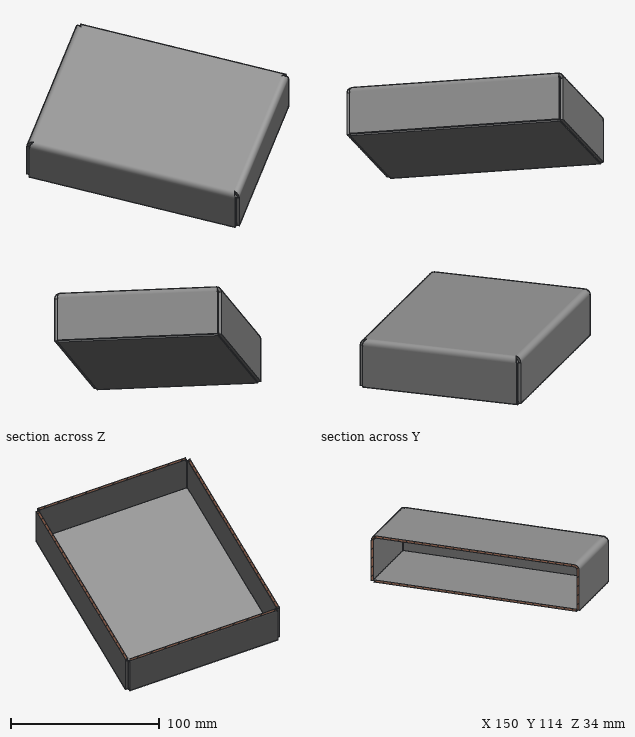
import cadquery as cq

length = 150.0
width = 114.0
height = 34.0

sheet = 2.0
bend_radius = 4.0
corner_gap = 2.2
base_drop = 1.0
inner_radius = bend_radius - sheet


def rounded_block(size_x, size_y, bottom, top, radius):
    """Block with its four upper edges rounded."""
    block = cq.Workplane("XY").workplane(offset=bottom).rect(size_x, size_y).extrude(top - bottom)
    return block.faces(">Z").edges().fillet(radius)


def corner_relief(side_x, side_y):
    """Square gap between two walls, widening into a mitre between their bends."""
    def outline(inner_corner, bottom):
        points = [
            (0, 0),
            (corner_gap, 0),
            (inner_corner, inner_corner),
            (0, corner_gap),
        ]
        placed = [(side_x * (length / 2 - x), side_y * (width / 2 - y)) for x, y in points]
        return cq.Workplane("XY").workplane(offset=bottom).polyline(placed).close().extrude(height - bottom)

    wall_gap = outline(corner_gap, 0)
    bend_mitre = outline(bend_radius, height - bend_radius)
    return wall_gap.union(bend_mitre)


outside = rounded_block(length, width, base_drop, height, bend_radius)
cavity = rounded_block(
    length - 2 * sheet, width - 2 * sheet, sheet, height - sheet, inner_radius
)
result = outside.cut(cavity)

for side_x in (-1, 1):
    for side_y in (-1, 1):
        result = result.cut(corner_relief(side_x, side_y))

base_plate = cq.Workplane("XY").rect(length - 2 * corner_gap, width - 2 * corner_gap).extrude(sheet)
result = result.union(base_plate)